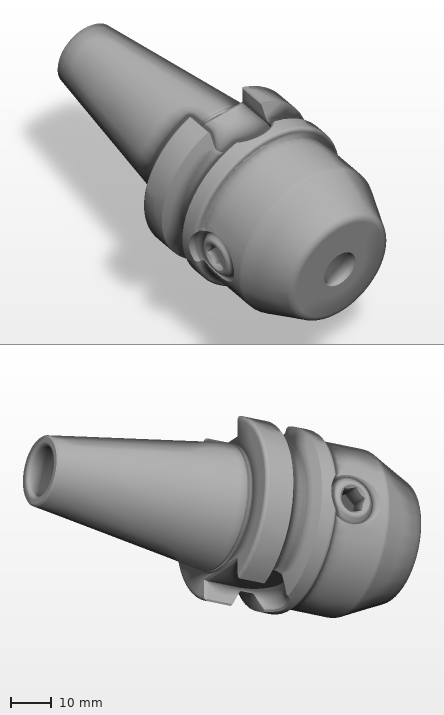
import cadquery as cq
import math


LENGTH = 98.6
TAPER_END_X = 49.1
TAPER_SMALL_R = 8.9
TAPER_LARGE_R = 16.0
TAPER_TIP_CHAMFER = 0.4
RELIEF_X = 49.7
RELIEF_R = 15.8
ROOT_X = 49.9
ROOT_R = 16.1

FLANGE_DIAMETER = 46.0
FLANGE_R = FLANGE_DIAMETER / 2
FLANGE_FACE_X = 50.6
FLANGE_BACK_X = 58.1
FLANGE_FILLET = 1.0

NECK_R = 18.9
NECK_FILLET = 0.6
GROOVE_FLANK_ANGLE = 60
GROOVE_FLANK_X = (FLANGE_R - NECK_R) / math.tan(math.radians(GROOVE_FLANK_ANGLE))

COLLAR_FRONT_X = 66.1
COLLAR_BACK_X = 70.6

BODY_R = 21.0
COLLAR_FILLET = 0.9
NOSE_CONE_X = 85.8
NOSE_CONE_ANGLE = 25
NOSE_FILLET = 2.0
NOSE_END_R = BODY_R - (LENGTH - NOSE_CONE_X) * math.tan(math.radians(NOSE_CONE_ANGLE))

BORE_R = 4.9
COUNTERBORE_R = 6.3
COUNTERBORE_END_X = 5.2
STEP_R = 5.7
STEP_END_X = 6.6
MOUTH_FILLET = 1.0

SLOT_HALF_WIDTH = 8.1
SLOT_FLOOR_Z = 16.3
SLOT_ARC_CENTER_X = 59.9
SLOT_EDGE_CHAMFER = 0.4
SLOT_MOUTH_DEPTH = 0.7
SLOT_LIP_CHAMFER = 0.5

SCREW_X = 76.1
SCREW_R = 6.0
SCREW_HEAD_Y = 20.9
SCREW_LENGTH = 15.8
SCREW_CHAMFER = 1.3
SCREW_FACE_R = 4.3
SCREW_FACE_DROP = 0.2
HEX_ACROSS_FLATS = 6.0
HEX_CORNER_R = HEX_ACROSS_FLATS / math.sqrt(3)
HEX_DEPTH = 5.9
HEX_TURN = 15
HEX_MOUTH_R = 3.7
SINK_R = 7.5


def rounded_outline(corners):
    """Closed wire in the XY plane through (x, y, radius) corners, rounding those with a radius."""
    points = [cq.Vector(x, y) for x, y, _ in corners]
    path = None
    for i, (_, _, radius) in enumerate(corners):
        corner = points[i]
        if radius == 0:
            path = path.lineTo(corner.x, corner.y) if path else cq.Workplane().moveTo(corner.x, corner.y)
            continue
        back = (points[i - 1] - corner).normalized()
        ahead = (points[(i + 1) % len(points)] - corner).normalized()
        half_angle = back.getAngle(ahead) / 2
        tangent_length = radius / math.tan(half_angle)
        center_distance = radius / math.sin(half_angle)
        start = corner + back * tangent_length
        middle = corner + (back + ahead).normalized() * (center_distance - radius)
        end = corner + ahead * tangent_length
        path = path.lineTo(start.x, start.y).threePointArc((middle.x, middle.y), (end.x, end.y))
    return path.close()


def revolve_about_x(outline):
    return outline.revolve(360, (0, 0, 0), (1, 0, 0))


def make_turned_blank():
    neck_start_x = FLANGE_BACK_X + GROOVE_FLANK_X
    neck_end_x = COLLAR_FRONT_X - GROOVE_FLANK_X
    corners = [
        (0, 0, 0),
        (0, TAPER_SMALL_R - TAPER_TIP_CHAMFER, 0),
        (TAPER_TIP_CHAMFER, TAPER_SMALL_R, 0),
        (TAPER_END_X, TAPER_LARGE_R, 0),
        (RELIEF_X, RELIEF_R, 0),
        (ROOT_X, ROOT_R, 0),
        (FLANGE_FACE_X, ROOT_R, 0),
        (FLANGE_FACE_X, FLANGE_R, FLANGE_FILLET),
        (FLANGE_BACK_X, FLANGE_R, 0),
        (neck_start_x, NECK_R, NECK_FILLET),
        (neck_end_x, NECK_R, NECK_FILLET),
        (COLLAR_FRONT_X, FLANGE_R, 0),
        (COLLAR_BACK_X, FLANGE_R, COLLAR_FILLET),
        (COLLAR_BACK_X, BODY_R, COLLAR_FILLET),
        (NOSE_CONE_X, BODY_R, NOSE_FILLET),
        (LENGTH, NOSE_END_R, NOSE_FILLET),
        (LENGTH, 0, 0),
    ]
    return revolve_about_x(rounded_outline(corners))


def make_bore():
    """Through bore with a round-lipped, stepped counterbore at the small end of the taper."""
    lip_offset = MOUTH_FILLET * (1 - math.sqrt(0.5))
    outline = (
        cq.Workplane()
        .lineTo(0, COUNTERBORE_R + MOUTH_FILLET)
        .threePointArc((lip_offset, COUNTERBORE_R + lip_offset), (MOUTH_FILLET, COUNTERBORE_R))
        .lineTo(COUNTERBORE_END_X, COUNTERBORE_R)
        .lineTo(COUNTERBORE_END_X + COUNTERBORE_R - STEP_R, STEP_R)
        .lineTo(STEP_END_X, STEP_R)
        .lineTo(STEP_END_X + STEP_R - BORE_R, BORE_R)
        .lineTo(LENGTH, BORE_R)
        .lineTo(LENGTH, 0)
        .close()
    )
    return revolve_about_x(outline)


def make_drive_slot(side):
    """Round-ended slot cutter on the +Z (side = 1) or -Z (side = -1) side, open toward the taper."""
    return (
        cq.Workplane("XY", origin=(0, 0, side * SLOT_FLOOR_Z))
        .moveTo(FLANGE_FACE_X, -SLOT_HALF_WIDTH)
        .lineTo(SLOT_ARC_CENTER_X, -SLOT_HALF_WIDTH)
        .threePointArc((SLOT_ARC_CENTER_X + SLOT_HALF_WIDTH, 0), (SLOT_ARC_CENTER_X, SLOT_HALF_WIDTH))
        .lineTo(FLANGE_FACE_X, SLOT_HALF_WIDTH)
        .close()
        .extrude(side * FLANGE_R)
    )


def make_slot_mouth(side):
    """Tapered cutter that bevels the floor and walls of a slot at the flange face."""
    bottom = SLOT_FLOOR_Z - SLOT_EDGE_CHAMFER
    height = FLANGE_R
    taper = math.degrees(math.atan2(SLOT_EDGE_CHAMFER, SLOT_MOUTH_DEPTH))
    return (
        cq.Workplane("YZ", origin=(FLANGE_FACE_X, 0, side * (bottom + height / 2)))
        .rect(2 * (SLOT_HALF_WIDTH + SLOT_EDGE_CHAMFER), height)
        .extrude(SLOT_MOUTH_DEPTH, taper=taper)
    )


def make_slot_rim(side):
    """V-sided cutter that bevels the slot walls at 45 degrees where they meet the flange rim."""
    outer_half_width = SLOT_HALF_WIDTH + SLOT_EDGE_CHAMFER
    start_z = math.sqrt(FLANGE_R**2 - outer_half_width**2) - SLOT_EDGE_CHAMFER
    rise = FLANGE_R - start_z
    top_half_width = SLOT_HALF_WIDTH + rise
    return (
        cq.Workplane("YZ", origin=(FLANGE_FACE_X, 0, 0))
        .polyline([
            (-SLOT_HALF_WIDTH, side * start_z),
            (SLOT_HALF_WIDTH, side * start_z),
            (top_half_width, side * FLANGE_R),
            (-top_half_width, side * FLANGE_R),
        ])
        .close()
        .extrude(SLOT_ARC_CENTER_X - FLANGE_FACE_X)
    )


def chamfer_slot_lips(holder):
    """Bevel the round end of each slot where it breaks through the collar rim."""
    lip_x = SLOT_ARC_CENTER_X + SLOT_HALF_WIDTH
    for side in (1, -1):
        lip = cq.selectors.NearestToPointSelector((lip_x, 0, side * FLANGE_R))
        holder = holder.edges(lip).chamfer(SLOT_LIP_CHAMFER)
    return holder


def revolve_about_screw(points):
    """Solid of revolution about the screw axis from (radius, distance from the X axis) points."""
    outline = [(SCREW_X + radius, -distance) for radius, distance in points]
    return cq.Workplane().polyline(outline).close().revolve(360, (SCREW_X, 0, 0), (SCREW_X, 1, 0))


def make_screw_hole():
    """Hole down to the bore axis, countersunk at 45 degrees where it meets the body."""
    return revolve_about_screw([
        (0, 0),
        (SCREW_R, 0),
        (SCREW_R, BODY_R - (SINK_R - SCREW_R)),
        (SINK_R, BODY_R),
        (SINK_R, FLANGE_R),
        (0, FLANGE_R),
    ])


def make_holder():
    holder = make_turned_blank().cut(make_bore())
    for side in (1, -1):
        for cutter in (make_drive_slot(side), make_slot_mouth(side), make_slot_rim(side)):
            holder = holder.cut(cutter)
    holder = chamfer_slot_lips(holder)
    return holder.cut(make_screw_hole())


def make_screw():
    tip_y = SCREW_HEAD_Y - SCREW_LENGTH
    shoulder_y = SCREW_HEAD_Y - SCREW_FACE_DROP
    screw = revolve_about_screw([
        (0, tip_y),
        (SCREW_R, tip_y),
        (SCREW_R, shoulder_y - SCREW_CHAMFER),
        (SCREW_R - SCREW_CHAMFER, shoulder_y),
        (SCREW_FACE_R, SCREW_HEAD_Y),
        (0, SCREW_HEAD_Y),
    ])
    socket = (
        cq.Workplane("XZ", origin=(SCREW_X, -SCREW_HEAD_Y, 0))
        .transformed(rotate=(0, 0, HEX_TURN))
        .polygon(6, 2 * HEX_CORNER_R)
        .extrude(-HEX_DEPTH)
    )
    socket_mouth = revolve_about_screw([
        (0, SCREW_HEAD_Y - HEX_MOUTH_R),
        (HEX_MOUTH_R, SCREW_HEAD_Y),
        (0, SCREW_HEAD_Y),
    ])
    return screw.cut(socket).cut(socket_mouth)


holder = make_holder()
screw = make_screw()
result = cq.Compound.makeCompound([holder.val(), screw.val()])